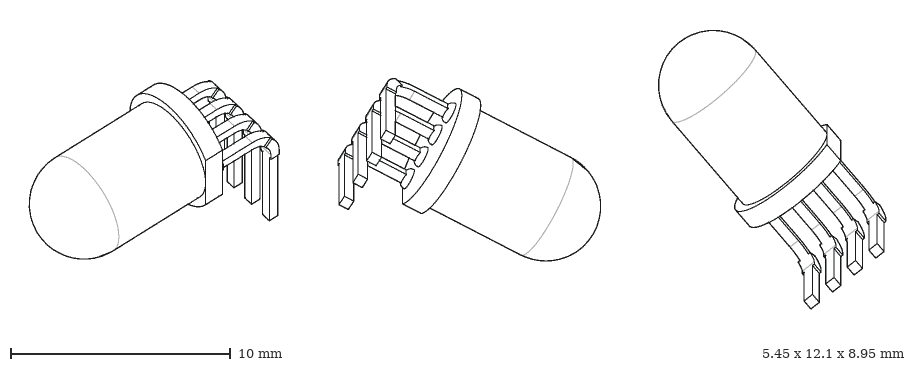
import cadquery as cq
import math

lens_diameter = 5.0
lens_radius = lens_diameter / 2
lens_length = 8.59
flange_radius = 2.95
flange_thickness = 0.99

lead_count = 4
lead_pitch = 1.27
lead_width = 0.5
lead_back = 3.53
lead_drop = 6.0
bend_outer_radius = 1.5
bend_inner_radius = bend_outer_radius - lead_width

collar_width = 0.72
collar_tail = 0.33
seam_angle = 45
collar_angle = seam_angle / 2

bead_radius = 0.5
bead_height = 0.3

bend_y = lead_back - bend_outer_radius
bend_z = lead_width / 2 - bend_outer_radius


def bend_point(radius, degrees):
    """Point (Y, Z) on the bend, measured from straight back toward the top."""
    angle = math.radians(degrees)
    return (bend_y + radius * math.cos(angle), bend_z + radius * math.sin(angle))


def make_body():
    """Domed lens with a flange that is cut flat level with the lens side."""
    barrel_length = lens_length - lens_radius
    lens = cq.Workplane("XZ").circle(lens_radius).extrude(barrel_length)
    dome = cq.Workplane("XY").sphere(lens_radius).translate((0, -barrel_length, 0))
    flange = cq.Workplane("XZ").circle(flange_radius).extrude(flange_thickness)
    flat_side = cq.Workplane("XY").box(
        flange_radius, 2 * flange_thickness, 2 * flange_radius, centered=(False, True, True)
    ).translate((lens_radius, 0, 0))
    return lens.union(dome).union(flange.cut(flat_side))


def make_lead():
    """Square lead running back from the flange, around the bend and down."""
    half = lead_width / 2
    return (
        cq.Workplane("YZ")
        .moveTo(-flange_thickness / 2, half)
        .lineTo(bend_y, half)
        .threePointArc(bend_point(bend_outer_radius, seam_angle), (lead_back, bend_z))
        .lineTo(lead_back, -lead_drop)
        .lineTo(lead_back - lead_width, -lead_drop)
        .lineTo(lead_back - lead_width, bend_z)
        .threePointArc(bend_point(bend_inner_radius, seam_angle), (bend_y, -half))
        .lineTo(-flange_thickness / 2, -half)
        .close()
        .extrude(half, both=True)
    )


def make_collar():
    """Wide section from the middle of the bend to just below it."""
    collar_bottom = bend_z - collar_tail
    return (
        cq.Workplane("YZ")
        .moveTo(*bend_point(bend_outer_radius, seam_angle))
        .threePointArc(bend_point(bend_outer_radius, collar_angle), (lead_back, bend_z))
        .lineTo(lead_back, collar_bottom)
        .lineTo(lead_back - lead_width, collar_bottom)
        .lineTo(lead_back - lead_width, bend_z)
        .threePointArc(bend_point(bend_inner_radius, collar_angle), bend_point(bend_inner_radius, seam_angle))
        .close()
        .extrude(collar_width / 2, both=True)
    )


def make_bead():
    """Flat-tipped bead with a rounded side, revolved about the lead axis."""
    side_radius = bead_height
    side_center = bead_radius - side_radius
    diagonal = side_radius * math.sqrt(0.5)
    return (
        cq.Workplane("XY")
        .moveTo(0, 0)
        .lineTo(bead_radius, 0)
        .threePointArc((side_center + diagonal, diagonal), (side_center, bead_height))
        .lineTo(0, bead_height)
        .close()
        .revolve(360, (0, 0, 0), (0, 1, 0))
    )


result = make_body()
lead = make_lead().union(make_collar()).union(make_bead())
for index in range(lead_count):
    lead_x = (index - (lead_count - 1) / 2) * lead_pitch
    result = result.union(lead.translate((lead_x, 0, 0)))